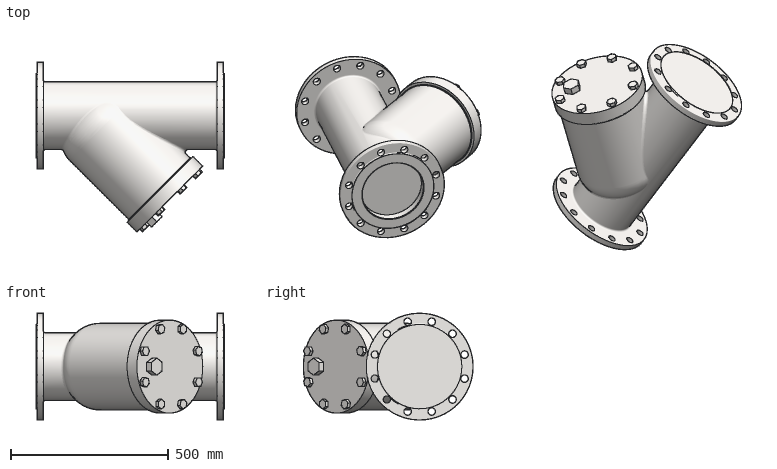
import cadquery as cq
import math

FACE_TO_FACE = 600
PIPE_RADIUS = 108
BORE_RADIUS = 100
BORE_DEPTH = 28
BORE_MOUTH_CHAMFER = 2

FLANGE_RADIUS = 170
FLANGE_THICKNESS = 20
FLANGE_RIM_FILLET = 1
RAISED_FACE_RADIUS = 134
RAISED_FACE_HEIGHT = 4
RAISED_FACE_FILLET = 3
FLANGE_FILLET = 6
FLANGE_HOLE_COUNT = 12
FLANGE_HOLE_RADIUS = 11.5
FLANGE_HOLE_CIRCLE_RADIUS = 147.5

BRANCH_ANGLE = -45
BRANCH_ORIGIN_X = -139.5
BRANCH_RADIUS = 138
DOME_START = 62
DOME_CORNER_RADIUS = 80
BRANCH_JOINT_FILLET = 8

COVER_RADIUS = 148
COVER_OUTER_FACE = 375
COVER_THICKNESS = 44
GASKET_RADIUS = 140
GASKET_THICKNESS = 3

BOLT_COUNT = 8
BOLT_CIRCLE_RADIUS = 129
BOLT_WIDTH = 27
BOLT_HEAD_HEIGHT = 12
PLUG_WIDTH = 47.5
PLUG_HEIGHT = 22
PLUG_OFFSET = 80


def make_branch_plane(distance):
    """Plane square to the branch axis, with local Y pointing along +Z."""
    angle = math.radians(BRANCH_ANGLE)
    axis = cq.Vector(math.cos(angle), math.sin(angle), 0)
    origin = cq.Vector(BRANCH_ORIGIN_X, 0, 0) + axis * distance
    side = cq.Vector(0, 0, 1).cross(axis)
    return cq.Plane(origin=origin, xDir=side, normal=axis)


def make_pipe():
    return cq.Workplane("YZ").circle(PIPE_RADIUS).extrude(FACE_TO_FACE / 2, both=True)


def make_branch():
    """Cylinder whose inner end is rounded into a dome."""
    dome_end = DOME_START - DOME_CORNER_RADIUS
    length = COVER_OUTER_FACE - COVER_THICKNESS - dome_end
    return (
        cq.Workplane(make_branch_plane(dome_end))
        .circle(BRANCH_RADIUS)
        .extrude(length)
        .faces(cq.selectors.DirectionMinMaxSelector(make_branch_plane(0).zDir, False))
        .edges()
        .fillet(DOME_CORNER_RADIUS)
    )


def make_body():
    """Pipe and branch joined, with a fillet along their curved intersection."""
    body = make_pipe().union(make_branch())
    joint = [edge for edge in body.edges().vals() if edge.geomType() not in ("LINE", "CIRCLE")]
    return body.newObject(joint).fillet(BRANCH_JOINT_FILLET)


def make_flange():
    """Flange at the -X end, with a raised face and a fillet running into the pipe."""
    face = -FACE_TO_FACE / 2
    front = face + RAISED_FACE_HEIGHT
    back = front + FLANGE_THICKNESS
    profile = (
        cq.Workplane("XY")
        .moveTo(face, 0)
        .lineTo(face, RAISED_FACE_RADIUS)
        .lineTo(front - RAISED_FACE_FILLET, RAISED_FACE_RADIUS)
        .radiusArc((front, RAISED_FACE_RADIUS + RAISED_FACE_FILLET), -RAISED_FACE_FILLET)
        .lineTo(front, FLANGE_RADIUS - FLANGE_RIM_FILLET)
        .radiusArc((front + FLANGE_RIM_FILLET, FLANGE_RADIUS), FLANGE_RIM_FILLET)
        .lineTo(back, FLANGE_RADIUS)
        .lineTo(back, PIPE_RADIUS + FLANGE_FILLET)
        .radiusArc((back + FLANGE_FILLET, PIPE_RADIUS), -FLANGE_FILLET)
        .lineTo(back + FLANGE_FILLET, 0)
        .close()
    )
    flange = profile.revolve(360, (0, 0, 0), (1, 0, 0))
    holes = (
        cq.Workplane("YZ", origin=(face, 0, 0))
        .polarArray(FLANGE_HOLE_CIRCLE_RADIUS, 180 / FLANGE_HOLE_COUNT, 360, FLANGE_HOLE_COUNT)
        .circle(FLANGE_HOLE_RADIUS)
        .extrude(back - face)
    )
    return flange.cut(holes)


def make_bore():
    """Blind recess in the -X end of the pipe, chamfered at its mouth."""
    mouth = cq.Workplane("YZ", origin=(-FACE_TO_FACE / 2, 0, 0))
    recess = mouth.circle(BORE_RADIUS).extrude(BORE_DEPTH)
    chamfer = cq.Workplane(
        cq.Solid.makeCone(
            BORE_RADIUS + BORE_MOUTH_CHAMFER,
            BORE_RADIUS,
            BORE_MOUTH_CHAMFER,
            pnt=mouth.plane.origin,
            dir=mouth.plane.zDir,
        )
    )
    return recess.union(chamfer)


def make_cover():
    cover_inner_face = COVER_OUTER_FACE - COVER_THICKNESS
    gasket = (
        cq.Workplane(make_branch_plane(cover_inner_face - GASKET_THICKNESS))
        .circle(GASKET_RADIUS)
        .extrude(GASKET_THICKNESS)
    )
    cover = (
        cq.Workplane(make_branch_plane(cover_inner_face))
        .circle(COVER_RADIUS)
        .extrude(COVER_THICKNESS)
    )
    return cover.union(gasket)


def make_hexagon_head(across_flats, height):
    """Hexagon on the cover's axis with corners toward local +Y and -Y."""
    across_corners = across_flats / math.cos(math.radians(30))
    return (
        cq.Workplane(make_branch_plane(COVER_OUTER_FACE))
        .transformed(rotate=(0, 0, 90))
        .polygon(6, across_corners)
        .extrude(height)
    )


def move_on_cover(part, x, y):
    plane = make_branch_plane(0)
    return part.translate(plane.xDir * x + plane.yDir * y)


def turn_about_branch(part, angle):
    plane = make_branch_plane(0)
    return part.rotate(plane.origin.toTuple(), (plane.origin + plane.zDir).toTuple(), angle)


def make_bolts():
    """Heads on the bolt circle, each turned along with its place on the circle."""
    pitch = 360 / BOLT_COUNT
    angle = math.radians(90 - pitch / 2)
    first = move_on_cover(
        make_hexagon_head(BOLT_WIDTH, BOLT_HEAD_HEIGHT),
        BOLT_CIRCLE_RADIUS * math.cos(angle),
        BOLT_CIRCLE_RADIUS * math.sin(angle),
    )
    return [turn_about_branch(first, pitch * i) for i in range(BOLT_COUNT)]


def make_plug():
    return move_on_cover(make_hexagon_head(PLUG_WIDTH, PLUG_HEIGHT), -PLUG_OFFSET, 0)


flange = make_flange()
result = make_body().union(flange).union(flange.mirror("YZ"))
result = result.union(make_cover()).union(make_plug())
for bolt in make_bolts():
    result = result.union(bolt)
result = result.cut(make_bore())